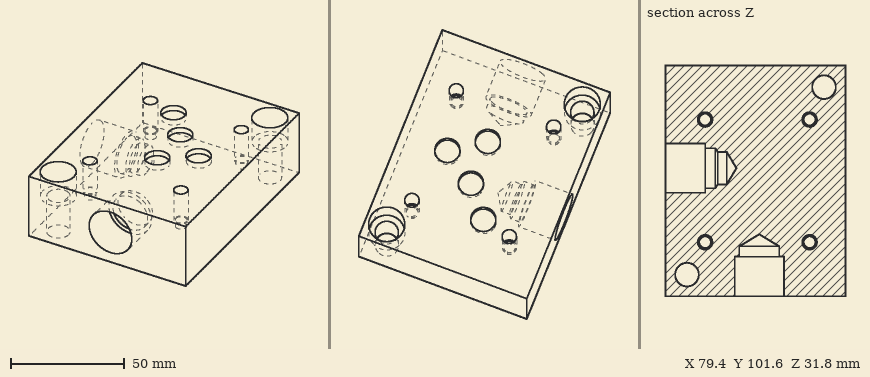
import cadquery as cq
import math

LENGTH_X = 79.38
LENGTH_Y = 101.6
HEIGHT = 31.75

DRILL_POINT_ANGLE = 118.0

MOUNT_INSET = 9.53
MOUNT_DIAMETER = 10.31
MOUNT_BORE_DIAMETER = 15.88
MOUNT_BORE_DEPTH = 12.7

BOLT_SPACING_X = 46.0
BOLT_SPACING_Y = 54.0
BOLT_LEFT_X = 17.5
BOLT_RIGHT_X = BOLT_LEFT_X + BOLT_SPACING_X
BOLT_FRONT_Y = (LENGTH_Y - BOLT_SPACING_Y) / 2
BOLT_BACK_Y = BOLT_FRONT_Y + BOLT_SPACING_Y
BOLT_THREAD_DIAMETER = 6.35
BOLT_THREAD_DEPTH = 15.88
BOLT_DRILL_DIAMETER = 5.11
BOLT_DRILL_DEPTH = 19.05

VALVE_PORT_DIAMETER = 11.11
VALVE_PORT_DEPTH = 2.7
VALVE_PORT_OFFSETS = [
    (32.5, 3.2),
    (21.4, 16.7),
    (6.3, 27.0),
    (21.4, 37.3),
]

PORT_Z = HEIGHT / 2
FRONT_PORT_X = 41.35
LEFT_PORT_Y = 56.4
PORT_THREAD_DIAMETER = 21.59
PORT_THREAD_DEPTH = 17.5
PORT_DRILL_DIAMETER = 17.48
PORT_DRILL_DEPTH = 22.0
LEFT_PASSAGE_DIAMETER = 14.22
LEFT_PASSAGE_DEPTH = 27.0


def flat_hole(mouth, direction, diameter, depth):
    """Solid of a flat-bottomed hole running from its mouth into the block."""
    return cq.Workplane(cq.Solid.makeCylinder(diameter / 2, depth, mouth, direction))


def drilled_hole(mouth, direction, diameter, depth):
    """Solid of a drilled hole: a cylinder of the given depth plus a drill point."""
    radius = diameter / 2
    point_length = radius / math.tan(math.radians(DRILL_POINT_ANGLE / 2))
    point_base = mouth + direction * depth
    point = cq.Solid.makeCone(radius, 0, point_length, point_base, direction)
    return flat_hole(mouth, direction, diameter, depth).union(cq.Workplane(point))


def threaded_hole(mouth, direction, thread_diameter, thread_depth, drill_diameter, drill_depth):
    """Solid of a drilled hole opened out to the thread diameter near its mouth."""
    thread = flat_hole(mouth, direction, thread_diameter, thread_depth)
    return thread.union(drilled_hole(mouth, direction, drill_diameter, drill_depth))


def side_port(mouth, direction):
    """Solid of one threaded side port."""
    return threaded_hole(
        mouth, direction, PORT_THREAD_DIAMETER, PORT_THREAD_DEPTH, PORT_DRILL_DIAMETER, PORT_DRILL_DEPTH
    )


DOWN = cq.Vector(0, 0, -1)
INTO_LEFT = cq.Vector(1, 0, 0)
INTO_FRONT = cq.Vector(0, 1, 0)

result = cq.Workplane("XY").box(LENGTH_X, LENGTH_Y, HEIGHT, centered=False)

mount_places = [
    (MOUNT_INSET, MOUNT_INSET),
    (LENGTH_X - MOUNT_INSET, LENGTH_Y - MOUNT_INSET),
]
for x, y in mount_places:
    mouth = cq.Vector(x, y, HEIGHT)
    result = result.cut(flat_hole(mouth, DOWN, MOUNT_DIAMETER, HEIGHT))
    result = result.cut(flat_hole(mouth, DOWN, MOUNT_BORE_DIAMETER, MOUNT_BORE_DEPTH))

for x in (BOLT_LEFT_X, BOLT_RIGHT_X):
    for y in (BOLT_FRONT_Y, BOLT_BACK_Y):
        bolt_hole = threaded_hole(
            cq.Vector(x, y, HEIGHT),
            DOWN,
            BOLT_THREAD_DIAMETER,
            BOLT_THREAD_DEPTH,
            BOLT_DRILL_DIAMETER,
            BOLT_DRILL_DEPTH,
        )
        result = result.cut(bolt_hole)

for left, forward in VALVE_PORT_OFFSETS:
    mouth = cq.Vector(BOLT_RIGHT_X - left, BOLT_BACK_Y - forward, HEIGHT)
    result = result.cut(drilled_hole(mouth, DOWN, VALVE_PORT_DIAMETER, VALVE_PORT_DEPTH))

front_mouth = cq.Vector(FRONT_PORT_X, 0, PORT_Z)
result = result.cut(side_port(front_mouth, INTO_FRONT))

left_mouth = cq.Vector(0, LEFT_PORT_Y, PORT_Z)
result = result.cut(side_port(left_mouth, INTO_LEFT))
result = result.cut(drilled_hole(left_mouth, INTO_LEFT, LEFT_PASSAGE_DIAMETER, LEFT_PASSAGE_DEPTH))